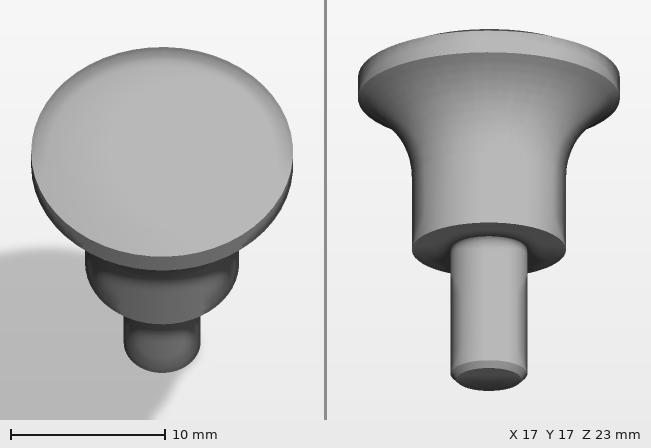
import cadquery as cq
import math

total_height = 23.0
head_radius = 17.0 / 2
neck_radius = 10.0 / 2
stem_radius = 5.0 / 2

stem_length = 9.0
neck_height = 5.0
flare_height = 5.5
rim_height = 1.5
tip_chamfer = 0.4

neck_bottom = stem_length
flare_bottom = neck_bottom + neck_height
rim_bottom = flare_bottom + flare_height
rim_top = rim_bottom + rim_height
dome_height = total_height - rim_top

flare_width = head_radius - neck_radius
flare_radius = (flare_width**2 + flare_height**2) / (2 * flare_width)
half_sweep = math.asin(flare_height / flare_radius) / 2
flare_mid = (
    neck_radius + flare_radius * (1 - math.cos(half_sweep)),
    flare_bottom + flare_radius * math.sin(half_sweep),
)

dome_radius = (head_radius**2 + dome_height**2) / (2 * dome_height)
dome_half_angle = math.asin(head_radius / dome_radius) / 2
dome_mid = (
    dome_radius * math.sin(dome_half_angle),
    total_height - dome_radius * (1 - math.cos(dome_half_angle)),
)

profile = (
    cq.Workplane("XZ")
    .moveTo(0, 0)
    .lineTo(stem_radius - tip_chamfer, 0)
    .lineTo(stem_radius, tip_chamfer)
    .lineTo(stem_radius, neck_bottom)
    .lineTo(neck_radius, neck_bottom)
    .lineTo(neck_radius, flare_bottom)
    .threePointArc(flare_mid, (head_radius, rim_bottom))
    .lineTo(head_radius, rim_top)
    .threePointArc(dome_mid, (0, total_height))
    .close()
)

result = profile.revolve(360, (0, 0, 0), (0, 1, 0))